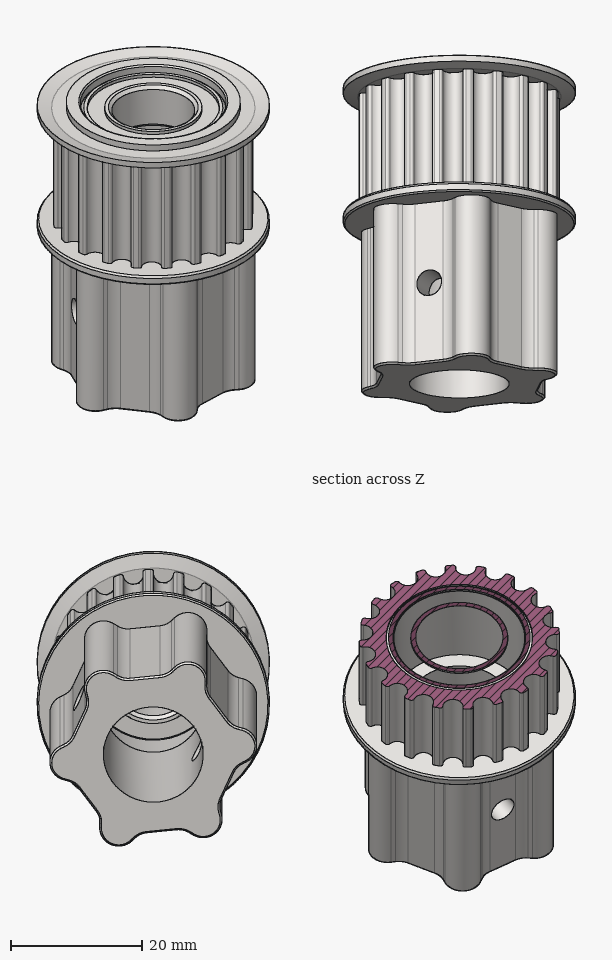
import cadquery as cq
import math

total_height = 47.6
lip_height = 1.05
sheet_thickness = 0.95
collar_bottom = 25.5
collar_top = 27.0
lip_bottom = total_height - lip_height
teeth_top = lip_bottom - sheet_thickness

flange_radius = 17.74
flange_flat_radius = 15.52
flange_rise = 0.52
lip_radius = 13.3
collar_top_bevel_width = 0.25
collar_top_bevel_height = 0.35
collar_bottom_bevel = 0.25

tooth_count = 20
tooth_tip_radius = 15.35
groove_radius = 1.52
tooth_corner_radius = 0.45

lobe_count = 6
lobe_center_radius = 12.95
lobe_radius = 2.9
flat_distance = 12.45
flat_half_width = 2.3
concave_radius = 3.0
hub_chamfer = 0.3
cross_hole_diameter = 4.05
cross_hole_height = 12.7

hub_bore_radius = 7.6
rim_bore_radius = 10.0
seat_radius = 11.15
seat_mouth_chamfer = 0.25
bearing_recess = 1.0
bearing_width = 7.15
bearing_bore_radius = 6.35
bearing_chamfer = 0.52
shield_inner_radius = 7.45
shield_outer_radius = 10.1
shield_depth = 0.52
bearing_top = total_height - bearing_recess
bearing_bottom = bearing_top - bearing_width


def polar(radius, degrees):
    angle = math.radians(degrees)
    return (radius * math.cos(angle), radius * math.sin(angle))


def beside(degrees, along, aside):
    """Point a distance along the given direction and a distance counter-clockwise from it."""
    return polar(math.hypot(along, aside), degrees + math.degrees(math.atan2(aside, along)))


def disc(radius, bottom, top):
    return cq.Workplane("XY").workplane(offset=bottom).circle(radius).extrude(top - bottom)


def revolved(points):
    """Revolve a closed (radius, height) outline about Z."""
    return cq.Workplane("XZ").polyline(points).close().revolve(360, (0, 0, 0), (0, 1, 0))


def make_toothed_rim():
    """Toothed cylinder with round-bottomed grooves, one of them facing -Y."""
    pitch = 360 / tooth_count
    corner_aside = groove_radius + tooth_corner_radius
    corner_center_radius = tooth_tip_radius - tooth_corner_radius
    arc_along = math.sqrt(corner_center_radius**2 - corner_aside**2)
    corner_angle = math.degrees(math.asin(corner_aside / corner_center_radius))
    corner_turn = math.radians(90 + corner_angle)
    middle_along = arc_along + tooth_corner_radius * math.sin(corner_turn / 2)
    middle_aside = corner_aside - tooth_corner_radius * math.cos(corner_turn / 2)

    outline = cq.Workplane("XY", origin=(0, 0, collar_top)).moveTo(*polar(tooth_tip_radius, -corner_angle))
    for tooth in range(tooth_count):
        angle = tooth * pitch
        outline = (
            outline
            .threePointArc(
                beside(angle, middle_along, -middle_aside),
                beside(angle, arc_along, -groove_radius),
            )
            .threePointArc(
                polar(arc_along - groove_radius, angle),
                beside(angle, arc_along, groove_radius),
            )
            .threePointArc(
                beside(angle, middle_along, middle_aside),
                polar(tooth_tip_radius, angle + corner_angle),
            )
            .threePointArc(
                polar(tooth_tip_radius, angle + pitch / 2),
                polar(tooth_tip_radius, angle + pitch - corner_angle),
            )
        )
    return outline.close().extrude(teeth_top - collar_top)


def make_collar():
    """Lower flange of the pulley, bevelled on both rims."""
    return revolved([
        (0, collar_bottom),
        (flange_radius - collar_bottom_bevel, collar_bottom),
        (flange_radius, collar_bottom + collar_bottom_bevel),
        (flange_radius, collar_top - collar_top_bevel_height),
        (flange_radius - collar_top_bevel_width, collar_top),
        (0, collar_top),
    ])


def make_hub():
    """Round lobes joined to the flats between them by concave arcs and short tangent lines."""
    half_pitch = 180 / lobe_count
    lobe_along, lobe_aside = polar(lobe_center_radius, half_pitch)
    concave_along = flat_distance + concave_radius
    along_gap = concave_along - lobe_along
    aside_gap = lobe_aside - flat_half_width
    center_distance = math.hypot(along_gap, aside_gap)
    turn = math.atan2(aside_gap, along_gap) - math.acos((lobe_radius + concave_radius) / center_distance)
    concave_end = (
        concave_along - concave_radius * math.cos(turn),
        flat_half_width + concave_radius * math.sin(turn),
    )
    concave_middle = (
        concave_along - concave_radius * math.cos(turn / 2),
        flat_half_width + concave_radius * math.sin(turn / 2),
    )
    lobe_start = (
        lobe_along + lobe_radius * math.cos(turn),
        lobe_aside - lobe_radius * math.sin(turn),
    )

    def before(angle, point):
        """Mirror of a point on the far side of a flat onto its near side."""
        return beside(angle, point[0], -point[1])

    outline = cq.Workplane("XY").moveTo(*before(half_pitch, lobe_start))
    for side in range(lobe_count):
        angle = (2 * side + 1) * half_pitch
        next_angle = angle + 2 * half_pitch
        outline = (
            outline
            .lineTo(*before(angle, concave_end))
            .threePointArc(before(angle, concave_middle), beside(angle, flat_distance, -flat_half_width))
            .lineTo(*beside(angle, flat_distance, flat_half_width))
            .threePointArc(beside(angle, *concave_middle), beside(angle, *concave_end))
            .lineTo(*beside(angle, *lobe_start))
            .threePointArc(
                polar(lobe_center_radius + lobe_radius, angle + half_pitch),
                before(next_angle, lobe_start),
            )
        )
    return outline.close().extrude(collar_bottom).faces("<Z").chamfer(hub_chamfer)


def make_pulley():
    lip = disc(lip_radius, teeth_top, total_height)
    pulley = make_hub().union(make_collar()).union(make_toothed_rim()).union(lip)

    bore = revolved([
        (0, 0),
        (hub_bore_radius, 0),
        (hub_bore_radius, collar_bottom),
        (rim_bore_radius, collar_bottom),
        (rim_bore_radius, bearing_bottom),
        (seat_radius, bearing_bottom),
        (seat_radius, total_height - seat_mouth_chamfer),
        (seat_radius + seat_mouth_chamfer, total_height),
        (0, total_height),
    ])
    cross_hole = (
        cq.Workplane("XZ")
        .center(0, cross_hole_height)
        .circle(cross_hole_diameter / 2)
        .extrude(flange_radius, both=True)
    )
    return pulley.cut(bore).cut(cross_hole)


def make_upper_flange():
    """Sheet ring around the lip, with its rim dished upward."""
    return revolved([
        (lip_radius, teeth_top),
        (flange_flat_radius, teeth_top),
        (flange_radius, teeth_top + flange_rise),
        (flange_radius, lip_bottom + flange_rise),
        (flange_flat_radius, lip_bottom),
        (lip_radius, lip_bottom),
    ])


def make_bearing():
    """Shielded ball bearing as one ring, with recessed shields on both faces."""
    bearing = disc(seat_radius, bearing_bottom, bearing_top)
    bearing = bearing.cut(disc(bearing_bore_radius, bearing_bottom, bearing_top))
    bearing = bearing.faces("<Z or >Z").edges().chamfer(bearing_chamfer)
    for recess_bottom in (bearing_bottom, bearing_top - shield_depth):
        recess_top = recess_bottom + shield_depth
        recess = disc(shield_outer_radius, recess_bottom, recess_top)
        recess = recess.cut(disc(shield_inner_radius, recess_bottom, recess_top))
        bearing = bearing.cut(recess)
    return bearing


pulley = make_pulley()
upper_flange = make_upper_flange()
bearing = make_bearing()

result = cq.Compound.makeCompound([pulley.val(), upper_flange.val(), bearing.val()])